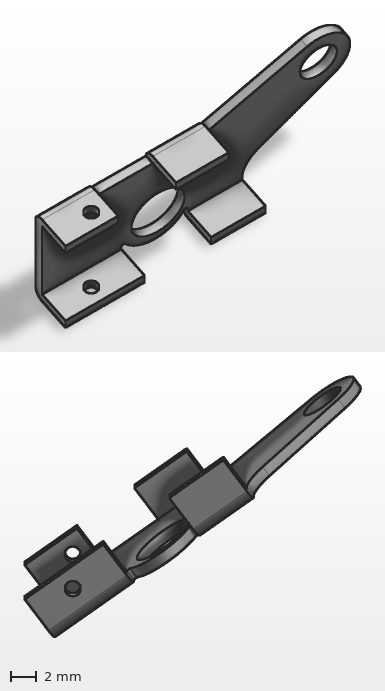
import cadquery as cq
import math

sheet = 0.9
part_width = 4.0
part_length = 29.23
part_height = 13.85
top_face = 10.9
bottom_face = 0.25
top_fold = top_face - sheet
bottom_fold = bottom_face + sheet
upper_flanges = [(0, 5.0), (10.5, 15.5)]
lower_flanges = [(0, 7.5), (13.83, 19.0)]

ear_radius = 3.0
ear_hole_radius = 1.75
ear_y = part_length - ear_radius
ear_z = part_height - ear_radius
arm_angle = math.radians(30)
heel_radius = 3.0

lobe_radius = 3.25
lobe_z = lobe_radius
notch_radius = 0.2
front_notch_y = lower_flanges[0][1]
rear_notch_y = lower_flanges[1][0]
lobe_y = (front_notch_y + rear_notch_y) / 2
main_hole_y = 11.0
main_hole_radius = 2.5

pin_x = 2.5
pin_y = 3.5
pin_radius = 0.6


def polar(center_y, center_z, radius, angle):
    return (center_y + radius * math.cos(angle), center_z + radius * math.sin(angle))


def make_plate():
    """Flat web: body, slanted arm with round ear, and lobe between its notches."""
    shoulder = (upper_flanges[1][1], top_fold)
    heel_y = lower_flanges[1][1]

    to_shoulder = math.atan2(shoulder[1] - ear_z, shoulder[0] - ear_y)
    shoulder_distance = math.hypot(shoulder[0] - ear_y, shoulder[1] - ear_z)
    upper_angle = to_shoulder - math.acos(ear_radius / shoulder_distance)
    ear_top = polar(ear_y, ear_z, ear_radius, upper_angle)

    lower_angle = arm_angle - math.pi / 2
    ear_bottom = polar(ear_y, ear_z, ear_radius, lower_angle)
    corner_z = ear_bottom[1] - (ear_bottom[0] - heel_y) * math.tan(arm_angle)
    heel_z = corner_z - heel_radius * math.tan(math.pi / 4 - arm_angle / 2)
    heel_center_y = heel_y + heel_radius
    heel_start = polar(heel_center_y, heel_z, heel_radius, arm_angle + math.pi / 2)
    heel_middle = polar(heel_center_y, heel_z, heel_radius, arm_angle / 2 + math.pi * 3 / 4)

    notch_offset = rear_notch_y - notch_radius - lobe_y
    center_distance = lobe_radius + notch_radius
    notch_z = lobe_z - math.sqrt(center_distance**2 - notch_offset**2)
    lobe_angle = math.atan2(notch_z - lobe_z, notch_offset)
    rear_lobe = polar(lobe_y, lobe_z, lobe_radius, lobe_angle)
    front_lobe = (2 * lobe_y - rear_lobe[0], rear_lobe[1])
    rear_notch_top = (lobe_y + notch_offset, notch_z + notch_radius)
    front_notch_top = (lobe_y - notch_offset, notch_z + notch_radius)

    outline = (
        cq.Workplane("YZ")
        .moveTo(0, bottom_fold)
        .lineTo(0, top_fold)
        .lineTo(*shoulder)
        .lineTo(*ear_top)
        .threePointArc((ear_y + ear_radius, ear_z), ear_bottom)
        .lineTo(*heel_start)
        .threePointArc(heel_middle, (heel_y, heel_z))
        .lineTo(heel_y, bottom_fold)
        .lineTo(rear_notch_y, bottom_fold)
        .lineTo(rear_notch_y, notch_z)
        .threePointArc(rear_notch_top, rear_lobe)
        .threePointArc((lobe_y, lobe_z - lobe_radius), front_lobe)
        .threePointArc(front_notch_top, (front_notch_y, notch_z))
        .lineTo(front_notch_y, bottom_fold)
        .close()
    )
    plate = outline.extrude(sheet)
    ear_hole = cq.Workplane("YZ").center(ear_y, ear_z).circle(ear_hole_radius).extrude(sheet)
    main_hole = cq.Workplane("YZ").center(main_hole_y, lobe_z).circle(main_hole_radius).extrude(sheet)
    return plate.cut(ear_hole).cut(main_hole)


def make_flange(start_y, end_y, fold_z, direction):
    """Flange bent toward +X; direction is 1 for an upward bend, -1 for a downward one."""
    face_z = fold_z + direction * sheet
    bend_middle = (sheet * (1 - math.sqrt(0.5)), fold_z + direction * sheet * math.sqrt(0.5))
    return (
        cq.Workplane("XZ", origin=(0, start_y, 0))
        .moveTo(0, fold_z)
        .threePointArc(bend_middle, (sheet, face_z))
        .lineTo(part_width, face_z)
        .lineTo(part_width, fold_z)
        .close()
        .extrude(start_y - end_y)
    )


result = make_plate()
for start_y, end_y in upper_flanges:
    result = result.union(make_flange(start_y, end_y, top_fold, 1))
for start_y, end_y in lower_flanges:
    result = result.union(make_flange(start_y, end_y, bottom_fold, -1))

pin_hole = cq.Workplane("XY").center(pin_x, pin_y).circle(pin_radius).extrude(top_face)
result = result.cut(pin_hole)